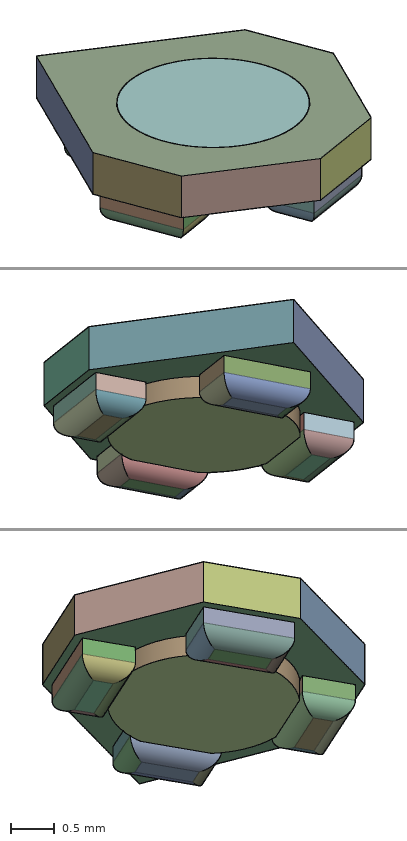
import cadquery as cq

plate_side = 3.3
corner_cut = 0.825
plate_thickness = 0.538
total_height = 0.95
foot_height = total_height - plate_thickness

core_diameter = 2.2
bore_diameter = 2.21
core_height = 0.8

foot_length = 1.1
foot_width = 0.64
foot_outer_reach = 1.647
foot_round = 0.2
foot_angles = [45, 135, 225, 315]


def make_plate():
    """Square plate resting on the feet; the (-X, -Y) corner stays sharp."""
    blank = (
        cq.Workplane("XY")
        .workplane(offset=foot_height)
        .rect(plate_side, plate_side)
        .extrude(plate_thickness)
    )
    cut_plate = blank.edges("|Z").edges(">X or >Y").chamfer(corner_cut)
    return cut_plate.faces(">Z").workplane(origin=(0, 0, total_height)).hole(bore_diameter)


def make_foot(angle):
    """Block with rounded lower edges, its long side square to the diagonal at this angle."""
    foot = (
        cq.Workplane("XY")
        .center(foot_outer_reach - foot_width / 2, 0)
        .rect(foot_width, foot_length)
        .extrude(foot_height)
        .faces("<Z")
        .edges()
        .fillet(foot_round)
    )
    return foot.rotate((0, 0, 0), (0, 0, 1), angle)


def make_core():
    """Cylinder flush with the top of the plate, carried by four feet that reach below it."""
    core_bottom = total_height - core_height
    core = cq.Workplane("XY").workplane(offset=core_bottom).circle(core_diameter / 2).extrude(core_height)
    for angle in foot_angles:
        core = core.union(make_foot(angle))
    return core


plate = make_plate()
core = make_core()

result = cq.Compound.makeCompound([plate.solids().val(), core.solids().val()])